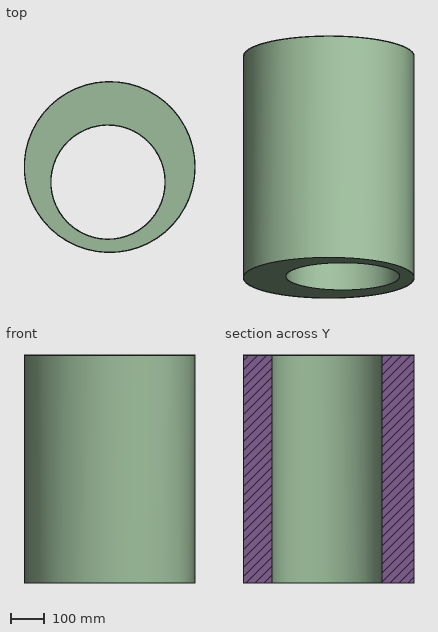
import cadquery as cq

outer_diameter = 510.0
height = 680.0
bore_diameter = 340.0
bore_offset_x = -5.0
bore_offset_y = -45.0


def make_body():
    """Upright cylinder standing on the XY plane, centred on the Z axis."""
    return cq.Workplane("XY").circle(outer_diameter / 2).extrude(height)


def make_bore():
    """Through bore, parallel to Z but off the cylinder axis."""
    return (
        cq.Workplane("XY")
        .center(bore_offset_x, bore_offset_y)
        .circle(bore_diameter / 2)
        .extrude(height)
    )


result = make_body().cut(make_bore())